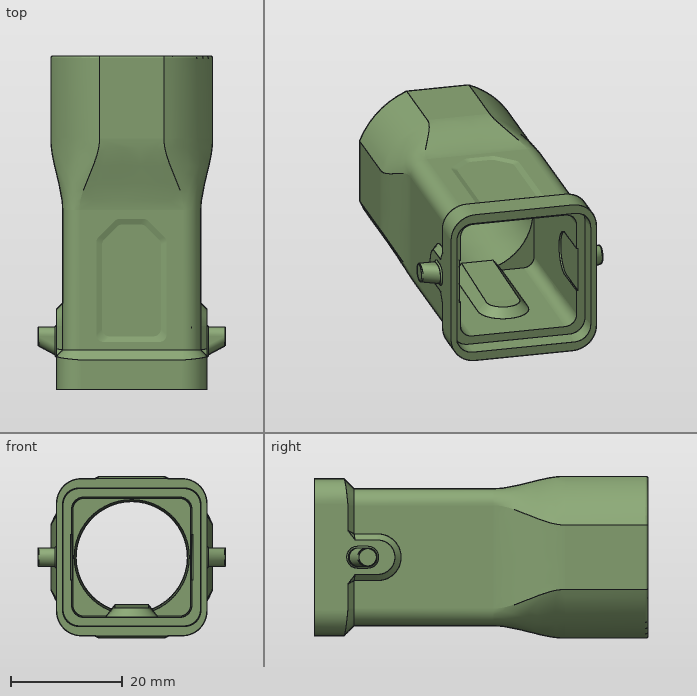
import cadquery as cq
import math

length = 59.85
body_x, body_z, body_r = 24.8, 24.6, 3.05
collar_x, collar_z, collar_r = 27.0, 28.2, 4.5
collar_back_y = 7.1
collar_taper = (collar_z - body_z) / 2
neck_start_y, neck_end_y = 32.15, 44.95
rear_size = 29.0
rear_flat = 11.55
rear_edge_r = 0.5

mouth_size, mouth_r, mouth_depth, mouth_draft = 24.85, 3.0, 3.6, 0.1
cavity_size, cavity_r, cavity_draft = 21.55, 2.15, 0.25
bore_front_d, bore_rear_d = 20.65, 19.95

pad_y, pad_r = 11.4, 4.2
pad_root_y = 6.0
pad_height = (collar_x - body_x) / 2
pin_span, pin_y, pin_r = 33.7, 9.6, 1.7
pin_foot_y = 7.8
pin_root_r = 0.3
pin_tip_chamfer = 0.1
pad_corner_y, pad_corner_z = 1.3, 1.75
relief_r, relief_depth = 4.05, 0.25

panel_width, panel_front_y, panel_back_y = 12.55, 8.5, 30.6
panel_corner_cut = 3.65
panel_slope, panel_depth = 1.0, 0.3
panel_corner_r = 1.3

rib_r, rib_y = 4.7, 14.5
rib_height, rib_rise = 1.7, 0.65
rib_rear_half_width = 2.95


def rounded_block(size_x, size_z, radius, y_start, y_end):
    """Prism along Y with rounded lengthwise edges."""
    block = cq.Workplane("XZ", origin=(0, y_start, 0)).rect(size_x, size_z).extrude(y_start - y_end)
    return block.edges("|Y").fillet(radius)


def mirrored_in_x(shape):
    return shape.union(shape.mirror("YZ"))


def section(y, half_x, half_z, flat_x, flat_z, mid_x, mid_z):
    """Wire of four flats joined by corner arcs that pass through (mid_x, mid_z)."""

    def point(x, z):
        return cq.Vector(x, y, z)

    edges = []
    for sx, sz in ((1, 1), (-1, 1), (-1, -1), (1, -1)):
        side_end = point(sx * half_x, sz * flat_z)
        top_end = point(sx * flat_x, sz * half_z)
        middle = point(sx * mid_x, sz * mid_z)
        first, last = (side_end, top_end) if sx == sz else (top_end, side_end)
        edges.append(cq.Edge.makeThreePointArc(first, middle, last))
        if sx == sz:
            edges.append(cq.Edge.makeLine(last, point(-sx * flat_x, sz * half_z)))
        else:
            edges.append(cq.Edge.makeLine(last, point(sx * half_x, -sz * flat_z)))
    return cq.Wire.assembleEdges(edges)


corner_mid = body_r * (1 - math.sqrt(0.5))
body_section = (
    body_x / 2,
    body_z / 2,
    body_x / 2 - body_r,
    body_z / 2 - body_r,
    body_x / 2 - corner_mid,
    body_z / 2 - corner_mid,
)
rear_mid = math.hypot(rear_size / 2, rear_flat / 2) * math.sqrt(0.5)
rear_section = (rear_size / 2, rear_size / 2, rear_flat / 2, rear_flat / 2, rear_mid, rear_mid)


def neck():
    """S-shaped blend from the body section to the rear section."""
    steps = 8
    wires = []
    for i in range(steps + 1):
        t = i / steps
        blend = t * t * (3 - 2 * t)
        sizes = [a + (b - a) * blend for a, b in zip(body_section, rear_section)]
        wires.append(section(neck_start_y + (neck_end_y - neck_start_y) * t, *sizes))
    return cq.Workplane(cq.Solid.makeLoft(wires))


def rear_grip():
    """Square rear end with broad round corners and a softened rear edge."""
    wire = section(neck_end_y, *rear_section)
    grip = cq.Solid.extrudeLinear(wire, [], cq.Vector(0, length - neck_end_y, 0))
    return cq.Workplane(grip).faces(">Y").edges().fillet(rear_edge_r)


def collar():
    """Wider band around the rim, sloping down to the body at its back."""
    front_y = collar_back_y - collar_taper
    slope = (
        cq.Workplane("XZ", origin=(0, collar_back_y, 0))
        .placeSketch(cq.Sketch().rect(body_x, body_z).vertices().fillet(body_r))
        .extrude(collar_taper, taper=-45)
    )
    back = rounded_block(collar_x, collar_z, collar_r, front_y, collar_back_y).intersect(slope)
    return rounded_block(collar_x, collar_z, collar_r, 0, front_y).union(back)


def side_slot(x, radius, y_front, y_back):
    """Slot outline in a plane facing +X, with its end centres at y_front and y_back."""
    plane = cq.Workplane("YZ", origin=(x, (y_front + y_back) / 2, 0))
    return plane.slot2D(y_back - y_front + 2 * radius, 2 * radius)


def pad():
    """Raised pad with sloping edges that carries a pin."""
    return side_slot(body_x / 2, pad_r, pad_root_y, pad_y).extrude(pad_height, taper=45)


def pad_corner_fill():
    """Small sloping wedge in the upper corner where the pad meets the collar."""
    top_x = collar_x / 2
    y, z = collar_back_y - pad_height, pad_r - pad_height
    corners = [
        cq.Vector(top_x, y, z),
        cq.Vector(top_x, y + pad_corner_y, z),
        cq.Vector(top_x, y, z + pad_corner_z),
        cq.Vector(body_x / 2, collar_back_y, pad_r),
    ]
    faces = []
    for skipped in corners:
        triangle = [corner for corner in corners if corner is not skipped]
        faces.append(cq.Face.makeFromWires(cq.Wire.makePolygon(triangle, close=True)))
    return cq.Workplane(cq.Solid.makeSolid(cq.Shell.makeShell(faces)))


def pin():
    """Round pin with a sloping web that widens it towards the rim."""
    root_x, tip_x = collar_x / 2, pin_span / 2
    reach = tip_x - root_x
    straight = cq.Workplane("YZ", origin=(root_x, pin_y, 0)).circle(pin_r).extrude(reach)
    slanted = (
        cq.Workplane("YZ", origin=(root_x, pin_foot_y, 0))
        .circle(pin_r)
        .workplane(offset=reach)
        .center(pin_y - pin_foot_y, 0)
        .circle(pin_r)
        .loft(ruled=True)
    )
    web = (
        cq.Workplane("XY", origin=(0, 0, -pin_r))
        .polyline([(root_x, pin_foot_y), (root_x, pin_y), (tip_x, pin_y)])
        .close()
        .extrude(2 * pin_r)
    )
    root = side_slot(root_x, pin_r + pin_root_r, pin_foot_y, pin_y).extrude(pin_root_r, taper=45)
    tip_r = pin_r - pin_tip_chamfer
    tip_cone = cq.Solid.makeCone(
        tip_r + reach, tip_r, reach, cq.Vector(root_x, pin_y, 0), cq.Vector(1, 0, 0)
    )
    shank = straight.union(slanted).union(web).intersect(cq.Workplane(tip_cone))
    return shank.union(root)


def panel_outline(inset):
    """Rounded panel outline with two cut corners, moved inwards by the inset."""
    half = panel_width / 2 - inset
    front_y, back_y = panel_front_y + inset, panel_back_y - inset
    cut = panel_corner_cut - inset * (2 - math.sqrt(2))
    corners = [
        (-half, front_y),
        (half, front_y),
        (half, back_y - cut),
        (half - cut, back_y),
        (cut - half, back_y),
        (-half, back_y - cut),
    ]
    return cq.Sketch().polygon(corners + corners[:1]).vertices().fillet(panel_corner_r)


def label_panel():
    """Sunken panel with sloping walls."""
    top = cq.Workplane("XY", origin=(0, 0, body_z / 2))
    floor_outline = panel_outline(panel_slope).moved(cq.Location((0, 0, -panel_depth)))
    return top.placeSketch(panel_outline(0), floor_outline).loft(ruled=True)


def drafted_block(size, radius, draft, y_start, y_end):
    """Square cavity along Y that narrows by the draft on every side."""
    outline = cq.Sketch().rect(size, size).vertices().fillet(radius)
    narrow = cq.Sketch().rect(size - 2 * draft, size - 2 * draft).vertices().fillet(radius - draft)
    start = cq.Workplane("XZ", origin=(0, y_start, 0))
    return start.placeSketch(outline, narrow.moved(cq.Location((0, 0, y_start - y_end)))).loft()


def interior():
    """Stepped cavity, tapered cable bore and shallow reliefs behind the pads."""
    mouth = drafted_block(mouth_size, mouth_r, mouth_draft, 0, mouth_depth)
    cavity = drafted_block(cavity_size, cavity_r, cavity_draft, mouth_depth, neck_start_y)
    bore = cq.Workplane(
        cq.Solid.makeCone(
            bore_front_d / 2,
            bore_rear_d / 2,
            length - neck_start_y,
            cq.Vector(0, neck_start_y, 0),
            cq.Vector(0, 1, 0),
        )
    )
    relief = side_slot(0, relief_r, 0, pad_y).extrude(cavity_size / 2 + relief_depth)
    return mouth.union(cavity).union(bore).union(mirrored_in_x(relief))


def key_rib():
    """Flared rib on the cavity floor with a round nose and a top that rises towards the rear."""
    base_z = -cavity_size / 2

    def profile(top_half_width, height):
        corners = [(-rib_r, 0), (rib_r, 0), (top_half_width, height), (-top_half_width, height)]
        return cq.Sketch().polygon(corners + corners[:1])

    nose_top_r = rib_r - rib_height
    nose = cq.Workplane(cq.Solid.makeCone(rib_r, nose_top_r, rib_height, cq.Vector(0, rib_y, base_z)))
    rear_profile = profile(rib_rear_half_width, rib_height + rib_rise)
    bar = (
        cq.Workplane("XZ", origin=(0, rib_y, base_z))
        .placeSketch(
            profile(nose_top_r, rib_height),
            rear_profile.moved(cq.Location((0, 0, rib_y - neck_start_y))),
        )
        .loft(ruled=True)
    )
    return nose.union(bar)


fill = pad_corner_fill()
side = pad().union(fill).union(fill.mirror("XY")).union(pin())
body = rounded_block(body_x, body_z, body_r, collar_taper, neck_start_y)
outside = body.union(neck()).union(rear_grip()).union(collar()).union(mirrored_in_x(side))
result = outside.cut(label_panel()).cut(interior()).union(key_rib())